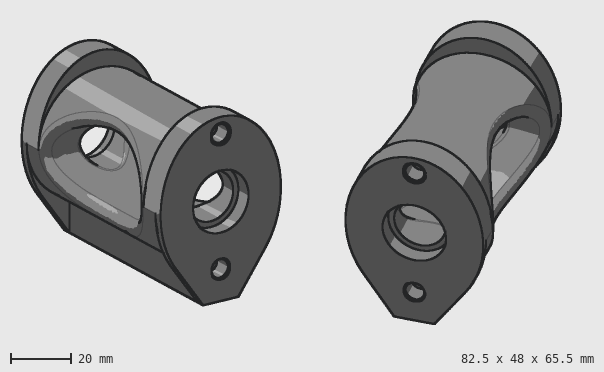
import cadquery as cq
import math

length = 82.5
barrel_radius = 24.0
foot_bottom = -35.4
foot_half_width = 7.0
foot_overlap = 3.3

plate_half_height = 30.1
plate_upper_thickness = 10.1
plate_lower_thickness = 3.05
flank_start = -19.9

bore_diameter = 18.0
counterbore_diameter = 22.1
counterbore_depth = 6.0

opening_half_length = 27.9
opening_half_height = 14.0
opening_round = 3.05
bore_exit_round = 1.5

end_hole_diameter = 6.5
end_hole_depth = 7.0
upper_mouth_diameter = 8.0
lower_mouth_diameter = 7.5
mouth_depth = 0.7

half_length = length / 2


def x_cylinder(diameter, start, depth, z=0):
    """Cylinder along X from start to start + depth."""
    return cq.Workplane("YZ", origin=(start, 0, z)).circle(diameter / 2).extrude(depth)


def end_plate(side):
    """Egg-shaped plate at one end; side is -1 or +1."""
    flank_half_width = barrel_radius * math.sqrt(1 - (flank_start / plate_half_height) ** 2)
    flank_angle = math.degrees(math.asin(flank_start / plate_half_height))
    plate = (
        cq.Workplane("YZ", origin=(side * half_length, 0, 0))
        .moveTo(-foot_half_width, foot_bottom)
        .lineTo(foot_half_width, foot_bottom)
        .lineTo(flank_half_width, flank_start)
        .ellipseArc(barrel_radius, plate_half_height, flank_angle, 180 - flank_angle, startAtCurrent=True)
        .close()
        .extrude(-side * plate_upper_thickness)
    )
    lower_recess = (
        cq.Workplane("XY")
        .rect(length - 2 * plate_lower_thickness, 2 * half_length)
        .extrude(-half_length)
    )
    return plate.cut(lower_recess)


def end_hole(side, z, mouth_diameter):
    """Blind hole with a shallow, wider mouth."""
    face = side * half_length
    hole = x_cylinder(end_hole_diameter, face, -side * end_hole_depth, z)
    mouth = x_cylinder(mouth_diameter, face, -side * mouth_depth, z)
    return hole.union(mouth)


barrel_length = length - 2 * plate_lower_thickness
barrel = (
    x_cylinder(2 * barrel_radius, -barrel_length / 2, barrel_length)
    .rotate((0, 0, 0), (1, 0, 0), -90)
)
opening = (
    cq.Workplane("XZ", origin=(0, half_length, 0))
    .ellipse(opening_half_length, opening_half_height)
    .extrude(length)
)
barrel = barrel.cut(opening)
barrel = barrel.edges("%BSPLINE").fillet(opening_round)

foot_top = -barrel_radius + foot_overlap
foot = (
    cq.Workplane("XY", origin=(0, 0, foot_bottom))
    .rect(barrel_length, 2 * foot_half_width)
    .extrude(foot_top - foot_bottom)
)

result = barrel.union(foot)
for side in (-1, 1):
    result = result.union(end_plate(side))

result = result.cut(x_cylinder(bore_diameter, -half_length, length))
bore_radius = bore_diameter / 2
bore_exits = cq.selectors.BoxSelector(
    (-opening_half_length, -bore_radius, -bore_radius),
    (opening_half_length, bore_radius, bore_radius),
)
result = result.edges(bore_exits).fillet(bore_exit_round)

for side in (-1, 1):
    result = result.cut(x_cylinder(counterbore_diameter, side * half_length, -side * counterbore_depth))
    result = result.cut(end_hole(side, barrel_radius, upper_mouth_diameter))
    result = result.cut(end_hole(side, -barrel_radius, lower_mouth_diameter))